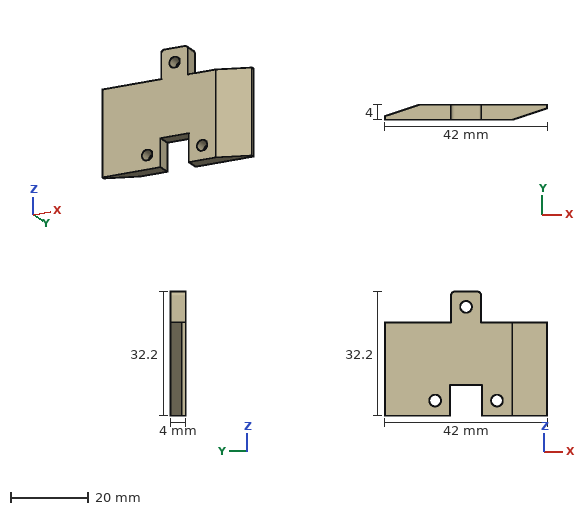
import cadquery as cq

width = 42.0
thickness = 4.0
total_height = 32.2
tab_height = 8.0
body_height = total_height - tab_height
center_x = width / 2

taper_length = 9.0
edge_thickness = 1.0

tab_width = 7.8
tab_corner_radius = 1.0
notch_width = 8.2
notch_height = 8.0

hole_diameter = 3.0
hole_spacing = 16.0
hole_edge_distance = 4.0


def make_body():
    """Plate tapered at the back on the left edge and at the front on the right edge."""
    profile = [
        (0, 0),
        (width - taper_length, 0),
        (width, thickness - edge_thickness),
        (width, thickness),
        (taper_length, thickness),
        (0, edge_thickness),
    ]
    return cq.Workplane("XY").polyline(profile).close().extrude(body_height)


def make_centered_block(block_width, bottom, height):
    """Full-thickness block centered across the width."""
    return (
        cq.Workplane("XY", origin=(center_x, 0, bottom))
        .box(block_width, thickness, height, centered=(True, False, False))
    )


def make_tab():
    """Top tab with rounded upper corners."""
    tab = make_centered_block(tab_width, body_height, tab_height)
    return tab.faces(">Z").edges("|Y").fillet(tab_corner_radius)


def make_holes():
    """Through holes: one in the tab and one on each side of the notch."""
    centers = [
        (center_x - hole_spacing / 2, hole_edge_distance),
        (center_x + hole_spacing / 2, hole_edge_distance),
        (center_x, total_height - hole_edge_distance),
    ]
    return cq.Workplane("XZ").pushPoints(centers).circle(hole_diameter / 2).extrude(-thickness)


notch = make_centered_block(notch_width, 0, notch_height)
result = make_body().union(make_tab()).cut(notch).cut(make_holes())